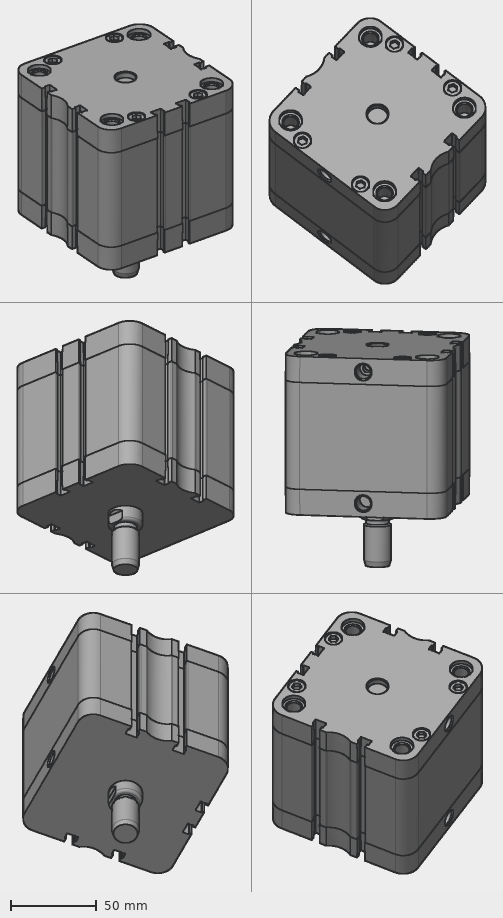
import cadquery as cq
import math

total_height = 131.0
body_width = 95.5
body_height = 94.0
cap_height = 15.3
corner_radius = 10.0

body_bottom = total_height - body_height
barrel_bottom = body_bottom + cap_height
barrel_top = total_height - cap_height
barrel_height = barrel_top - barrel_bottom
half_width = body_width / 2
cap_draft = 0.4
outline_sheet = 1.3

slot_neck_width = 5.1
slot_head_width = 7.0
side_slot_offset = 15.0
side_slot_depth = 6.4
side_slot_neck_depth = 2.9
neck_edge_fillet = 0.5
end_slot_offset = 9.0
end_slot_depth = 5.2
end_slot_neck_depth = 1.6

flute_width = 16.0
flute_depth = 2.5
flute_edge_fillet = 1.3
flute_radius = ((flute_width / 2) ** 2 + flute_depth**2) / (2 * flute_depth)

mount_spacing = 72.0
mount_counterbore_diameter = 13.5
mount_counterbore_depth = 2.6
mount_mouth_diameter = 10.0
mount_hole_diameter = 8.4
mount_hole_depth = 11.8

screw_spacing_x = 83.0
screw_spacing_y = 44.5
screw_recess_diameter = 10.3
screw_head_diameter = 9.8
screw_head_recess = 0.5
screw_gap_depth = 0.8
hex_across_flats = 5.0
hex_across_corners = hex_across_flats / math.cos(math.pi / 6)
hex_depth = 2.6

centre_hole_diameter = 12.0
centre_mouth_diameter = 13.1
centre_hole_depth = 3.9

port_face_distance = 8.0
port_mouth_diameter = 10.3
port_diameter = 8.5
port_depth = 13.1
passage_diameter = 5.0
passage_depth = 19.6

collar_diameter = 20.0
collar_length = 9.0
collar_fillet = 1.8
flat_distance = 17.0
flat_start = 3.1
neck_diameter = 13.5
thread_diameter = 16.0
thread_length = 25.2
thread_shoulder = 0.9
tip_chamfer_length = 3.5
tip_diameter = 14.0


def t_slot(offset, depth, neck_depth, turn):
    """Thin vertical T-slot cutter on the +Y face, turned about Z by `turn` degrees."""
    head_depth = depth - neck_depth
    from_floor = (True, False, False)
    neck = cq.Workplane("XY").box(slot_neck_width, 2 * depth, outline_sheet, centered=from_floor)
    head = cq.Workplane("XY").box(slot_head_width, head_depth, outline_sheet, centered=from_floor)
    cutter = neck.union(head).translate((offset, half_width - depth, 0))
    return cutter.rotate((0, 0, 0), (0, 0, 1), turn)


def profile_wire():
    """Outline shared by barrel and caps: rounded square with T-slots on three faces and two flutes."""
    block = cq.Workplane("XY").box(body_width, body_width, outline_sheet, centered=(True, True, False))
    block = block.edges("|Z").fillet(corner_radius)
    for sign in (-1, 1):
        for turn in (0, 180):
            block = block.cut(t_slot(sign * side_slot_offset, side_slot_depth, side_slot_neck_depth, turn))
        block = block.cut(t_slot(sign * end_slot_offset, end_slot_depth, end_slot_neck_depth, -90))
        flute_y = sign * (half_width - flute_depth + flute_radius)
        block = block.cut(cq.Workplane("XY").center(0, flute_y).circle(flute_radius).extrude(outline_sheet))
    return block.faces("<Z").val().outerWire()


def profile_block(height, taper=0):
    """The outline extruded upward from Z = 0, drawn in by `taper` degrees."""
    return cq.Workplane("XY").add(profile_wire()).toPending().extrude(height, taper=taper)


def stepped_hole(origin, normal, mouth_diameter, diameter, depth):
    """Blind hole cutter with a 45 degree chamfer at its mouth, going in along `normal`."""
    chamfer = (mouth_diameter - diameter) / 2
    profile = [
        (0, 0),
        (mouth_diameter / 2, 0),
        (diameter / 2, chamfer),
        (diameter / 2, depth),
        (0, depth),
    ]
    plane = cq.Plane(origin=origin, xDir=(0, 1, 0), normal=normal)
    cutter = cq.Workplane("XZ").polyline(profile).close().revolve(360, (0, 0, 0), (0, 1, 0))
    return cq.Workplane(cutter.val().moved(plane.location))


def port(z):
    """Air port cutter entering the -X face at height z."""
    return stepped_hole((-half_width, 0, z), (1, 0, 0), port_mouth_diameter, port_diameter, port_depth)


def cylinder_down(x, y, z, diameter, depth):
    """Solid cylinder going down from height z."""
    return cq.Workplane("XY", origin=(x, y, z)).circle(diameter / 2).extrude(-depth)


def mounting_hole(x, y):
    """Counterbored hole cutter with a chamfered mouth."""
    floor = total_height - mount_counterbore_depth
    counterbore = cylinder_down(x, y, total_height, mount_counterbore_diameter, mount_counterbore_depth)
    mouth = (x, y, floor)
    hole = stepped_hole(mouth, (0, 0, -1), mount_mouth_diameter, mount_hole_diameter, mount_hole_depth)
    return counterbore.union(hole)


def screw_relief(x, y):
    """Cutter that leaves a sunk screw head with a hexagon socket and a narrow gap around it."""
    head_top = total_height - screw_head_recess
    recess = cylinder_down(x, y, total_height, screw_recess_diameter, screw_head_recess + screw_gap_depth)
    head = cylinder_down(x, y, head_top, screw_head_diameter, screw_gap_depth)
    socket = (
        cq.Workplane("XY", origin=(x, y, head_top))
        .transformed(rotate=(0, 0, 90))
        .polygon(6, hex_across_corners)
        .extrude(-hex_depth)
    )
    return recess.cut(head).union(socket)


def make_rear_cap():
    cap = profile_block(cap_height, cap_draft).translate((0, 0, barrel_top))

    centre = (0, 0, total_height)
    cap = cap.cut(
        stepped_hole(centre, (0, 0, -1), centre_mouth_diameter, centre_hole_diameter, centre_hole_depth)
    )

    for side_x in (-1, 1):
        for side_y in (-1, 1):
            cap = cap.cut(mounting_hole(side_x * mount_spacing / 2, side_y * mount_spacing / 2))
            cap = cap.cut(screw_relief(side_x * screw_spacing_x / 2, side_y * screw_spacing_y / 2))

    port_z = total_height - port_face_distance
    passage = cq.Workplane("YZ", origin=(-half_width, 0, port_z)).circle(passage_diameter / 2)
    return cap.cut(port(port_z)).cut(passage.extrude(passage_depth))


def fillet_upright(block, x, y, radius):
    """Round the vertical edge of a block standing on Z = 0 that passes through (x, y)."""
    edge = block.edges("|Z").edges(cq.selectors.NearestToPointSelector((x, y, barrel_height / 2)))
    return edge.fillet(radius)


def make_barrel():
    barrel = profile_block(barrel_height)
    flute_edge_x = flute_width / 2
    neck_edge = slot_neck_width / 2
    for side in (-1, 1):
        y = side * half_width
        for x in (-flute_edge_x, flute_edge_x):
            barrel = fillet_upright(barrel, x, y, flute_edge_fillet)
        for x in (-side_slot_offset, side_slot_offset):
            barrel = fillet_upright(barrel, x - neck_edge, y, neck_edge_fillet)
            barrel = fillet_upright(barrel, x + neck_edge, y, neck_edge_fillet)
        slot_y = side * end_slot_offset
        barrel = fillet_upright(barrel, half_width, slot_y - neck_edge, neck_edge_fillet)
        barrel = fillet_upright(barrel, half_width, slot_y + neck_edge, neck_edge_fillet)
    return barrel.translate((0, 0, barrel_bottom))


def make_front_cap():
    cap = profile_block(cap_height, cap_draft).mirror("XY").translate((0, 0, barrel_bottom))
    return cap.cut(port(body_bottom + port_face_distance))


def make_rod():
    collar_bottom = body_bottom - collar_length
    collar_r, neck_r = collar_diameter / 2, neck_diameter / 2
    thread_r, tip_r = thread_diameter / 2, tip_diameter / 2
    fillet_x, fillet_z = collar_r - collar_fillet, collar_bottom + collar_fillet
    arc_reach = collar_fillet * math.sin(math.pi / 4)
    rod = (
        cq.Workplane("XZ")
        .lineTo(tip_r, 0)
        .lineTo(thread_r, tip_chamfer_length)
        .lineTo(thread_r, thread_length - thread_shoulder)
        .lineTo(neck_r, thread_length)
        .lineTo(neck_r, collar_bottom)
        .lineTo(fillet_x, collar_bottom)
        .threePointArc((fillet_x + arc_reach, fillet_z - arc_reach), (collar_r, fillet_z))
        .lineTo(collar_r, body_bottom)
        .lineTo(0, body_bottom)
        .close()
        .revolve(360, (0, 0, 0), (0, 1, 0))
    )

    flat_x = flat_distance / 2
    flat_top = body_bottom - flat_start
    run_out = collar_r - flat_x
    for side in (-1, 1):
        wedge = [
            (side * flat_x, collar_bottom),
            (side * flat_x, flat_top),
            (side * (flat_x + run_out), flat_top + run_out),
            (side * (flat_x + run_out), collar_bottom),
        ]
        rod = rod.cut(cq.Workplane("XZ").polyline(wedge).close().extrude(collar_r, both=True))
    return rod


rear_cap = make_rear_cap()
barrel = make_barrel()
front_cap = make_front_cap()
rod = make_rod()

result = cq.Compound.makeCompound([rear_cap.val(), barrel.val(), front_cap.val(), rod.val()])